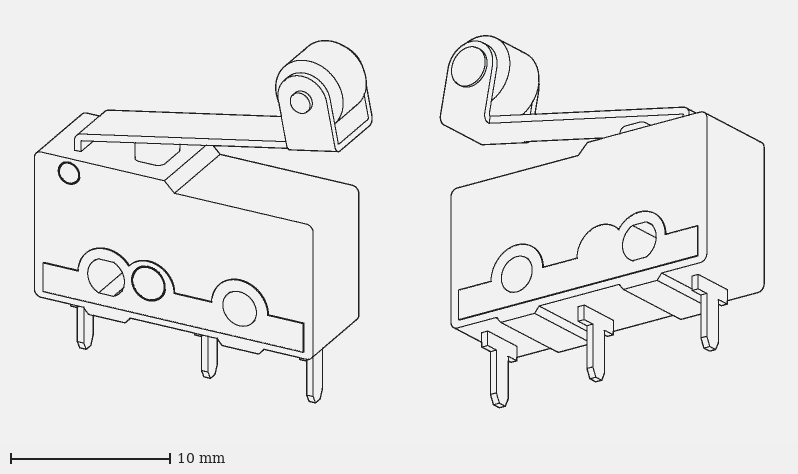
import cadquery as cq
import math


OVERALL_LENGTH = 21.12
OVERALL_HEIGHT = 24.62

BODY_LENGTH = 19.8
BODY_THICKNESS = 6.2
BODY_TOP = 10.22
STEP_TOP = 9.5
STEP_START = 9.23
CORNER_RADIUS = 0.5
FOOT_DEPTH = 0.42
FOOT_LENGTH = 3.3
FOOT_SLOPE = 0.35

HOLE_Z = 2.5
ROUND_HOLE_X = 14.62
ROUND_HOLE_DIAMETER = 2.4
FLAT_HOLE_X = 5.15
FLAT_HOLE_DIAMETER = 2.6
FLAT_HOLE_HEIGHT = ROUND_HOLE_DIAMETER

PANEL_HEIGHT = 0.1
PANEL_LEFT = 0.66
PANEL_RIGHT = 19.13
PANEL_BOTTOM = 0.5
HOLE_PAD_RADIUS = 2.0
RIVET_PAD_RADIUS = 1.82

RIVET_X = 8.15
RIVET_Z = 2.78
RIVET_DIAMETER = 2.4
PIVOT_X = 2.45
PIVOT_Z = 9.18
PIVOT_DIAMETER = 1.53
GROOVE_WIDTH = 0.07
GROOVE_DEPTH = 0.1

TERMINAL_CENTRES = (2.0, 10.8, 18.27)
TERMINAL_THICKNESS = 0.47
TERMINAL_BOTTOM = -4.48
SHOULDER_BOTTOM = -0.98
SHOULDER_HALF_WIDTH = 1.58
BLADE_HALF_WIDTH = 0.65
TIP_HALF_WIDTH = 0.32
TIP_LENGTH = 0.6
TERMINAL_EMBED = 0.25

EMBED_BOTTOM = 9.85
PLUNGER_X = 7.12
PLUNGER_LENGTH = 2.07
PLUNGER_WIDTH = 2.85
PLUNGER_TOP = 11.65
PLUNGER_RADIUS = 0.5
PLUNGER_TOP_RADIUS = 0.47

ROLLER_DIAMETER = 4.8
ROLLER_X = OVERALL_LENGTH - ROLLER_DIAMETER / 2
ROLLER_Z = TERMINAL_BOTTOM + OVERALL_HEIGHT - ROLLER_DIAMETER / 2
ROLLER_WIDTH = 3.15
AXLE_DIAMETER = 1.4
AXLE_FRONT = -2.83
HEAD_DIAMETER = 2.6
HEAD_BACK = 2.7

LEVER_ANGLE = 11.0
SHEET = 0.47
LEVER_WIDTH = 3.82
LEVER_LEG_X = 2.22
LEVER_BEND_RADIUS = 0.6
FORK_WIDTH = 5.02
FORK_BEND_RADIUS = 0.5
FORK_INNER_RADIUS = 0.12
FORK_RADIUS = 1.75
FORK_DROP = 3.57


def disc(x, z, diameter, y_start, y_end):
    """Cylinder along Y between two Y positions."""
    plane = cq.Plane(origin=(x, y_start, z), xDir=(1, 0, 0), normal=(0, 1, 0))
    return cq.Workplane(plane).circle(diameter / 2).extrude(y_end - y_start)


def block(x_start, x_end, y_size, z_start, z_end):
    """Box centred on the mid plane."""
    return cq.Workplane("XY").box(
        x_end - x_start, y_size, z_end - z_start, centered=(False, True, False)
    ).translate((x_start, 0, z_start))


def foot(centre_x):
    """Shallow trapezoid below the body."""
    half_length = FOOT_LENGTH / 2
    outline = cq.Workplane("XZ").polyline([
        (centre_x - half_length, 0),
        (centre_x - half_length + FOOT_SLOPE, -FOOT_DEPTH),
        (centre_x + half_length - FOOT_SLOPE, -FOOT_DEPTH),
        (centre_x + half_length, 0),
    ])
    return outline.close().extrude(BODY_THICKNESS / 2, both=True)


def housing():
    slope_end = STEP_START + BODY_TOP - STEP_TOP
    shell = (
        cq.Workplane("XZ")
        .polyline([
            (0, 0), (BODY_LENGTH, 0), (BODY_LENGTH, STEP_TOP),
            (slope_end, STEP_TOP), (STEP_START, BODY_TOP), (0, BODY_TOP),
        ])
        .close()
        .extrude(BODY_THICKNESS / 2, both=True)
    )
    shell = shell.edges("|Y and (<X or >X)").fillet(CORNER_RADIUS)
    for hole_x in (FLAT_HOLE_X, ROUND_HOLE_X):
        shell = shell.union(foot(hole_x))
    return shell


def panel():
    """Raised panel shape, as thick as body plus both reliefs."""
    half = BODY_THICKNESS / 2 + PANEL_HEIGHT
    plate = block(PANEL_LEFT, PANEL_RIGHT, 2 * half, PANEL_BOTTOM, HOLE_Z)
    pads = (
        (FLAT_HOLE_X, HOLE_PAD_RADIUS),
        (RIVET_X, RIVET_PAD_RADIUS),
        (ROUND_HOLE_X, HOLE_PAD_RADIUS),
    )
    upper_side = block(0, BODY_LENGTH, 2 * half, HOLE_Z, BODY_TOP)
    for pad_x, radius in pads:
        plate = plate.union(disc(pad_x, HOLE_Z, 2 * radius, -half, half).intersect(upper_side))
    return plate


def mounting_holes():
    reach = BODY_THICKNESS
    flat_hole = disc(FLAT_HOLE_X, HOLE_Z, FLAT_HOLE_DIAMETER, -reach, reach)
    flat_hole = flat_hole.intersect(block(
        0, BODY_LENGTH, 2 * reach, HOLE_Z - FLAT_HOLE_HEIGHT / 2, HOLE_Z + FLAT_HOLE_HEIGHT / 2
    ))
    return flat_hole.union(disc(ROUND_HOLE_X, HOLE_Z, ROUND_HOLE_DIAMETER, -reach, reach))


def ring_groove(x, z, diameter, face_y):
    """Thin ring cut into the front face that lies at -face_y."""
    bottom_y = GROOVE_DEPTH - face_y
    outer = disc(x, z, diameter, -face_y, bottom_y)
    return outer.cut(disc(x, z, diameter - 2 * GROOVE_WIDTH, -face_y, bottom_y))


def terminal(centre_x):
    right_side = [
        (SHOULDER_HALF_WIDTH, TERMINAL_EMBED),
        (SHOULDER_HALF_WIDTH, SHOULDER_BOTTOM),
        (BLADE_HALF_WIDTH, SHOULDER_BOTTOM),
        (BLADE_HALF_WIDTH, TERMINAL_BOTTOM + TIP_LENGTH),
        (TIP_HALF_WIDTH, TERMINAL_BOTTOM),
    ]
    left_side = [(-y, z) for y, z in reversed(right_side)]
    blade = cq.Workplane("YZ").polyline(right_side + left_side).close()
    return blade.extrude(TERMINAL_THICKNESS / 2, both=True).translate((centre_x, 0, 0))


def plunger():
    half_length = PLUNGER_LENGTH / 2
    button = block(
        PLUNGER_X - half_length, PLUNGER_X + half_length, PLUNGER_WIDTH,
        EMBED_BOTTOM, PLUNGER_TOP,
    )
    button = button.edges("|Z").fillet(PLUNGER_RADIUS)
    return button.faces(">Z").edges().fillet(PLUNGER_TOP_RADIUS)


def lever_strip():
    """Bent strip: upright leg in the body, then the sloping arm."""
    angle = math.radians(LEVER_ANGLE)
    slope = math.tan(angle)
    under_z = ROLLER_Z - FORK_DROP / math.cos(angle)
    end_x = ROLLER_X + FORK_RADIUS * math.cos(angle) + FORK_DROP * math.sin(angle)
    end_z = under_z + (end_x - ROLLER_X) * slope
    inner_x = LEVER_LEG_X + SHEET
    inner_z = under_z + (inner_x - ROLLER_X) * slope
    top_rise = SHEET / math.cos(angle)
    outer_z = under_z + (LEVER_LEG_X - ROLLER_X) * slope + top_rise
    strip = (
        cq.Workplane("XZ")
        .polyline([
            (LEVER_LEG_X, EMBED_BOTTOM), (inner_x, EMBED_BOTTOM),
            (inner_x, inner_z), (end_x, end_z),
            (end_x - SHEET * math.sin(angle), end_z + SHEET * math.cos(angle)),
            (LEVER_LEG_X, outer_z),
        ])
        .close()
        .extrude(LEVER_WIDTH / 2, both=True)
    )
    bend = cq.selectors.NearestToPointSelector((LEVER_LEG_X, 0, outer_z))
    return strip.edges("|Y").edges(bend).fillet(LEVER_BEND_RADIUS)


def fork():
    """U-shaped roller holder, modelled level about the roller axis and then tilted."""
    channel = block(-FORK_RADIUS, FORK_RADIUS, FORK_WIDTH, -FORK_DROP, FORK_RADIUS)
    channel = channel.edges("|X and <Z").fillet(FORK_BEND_RADIUS)
    gap = block(-FORK_RADIUS, FORK_RADIUS, FORK_WIDTH - 2 * SHEET, SHEET - FORK_DROP, FORK_RADIUS)
    gap = gap.edges("|X and <Z").fillet(FORK_INNER_RADIUS)
    half = FORK_WIDTH / 2
    side_shape = disc(0, 0, 2 * FORK_RADIUS, -half, half).union(
        block(-FORK_RADIUS, FORK_RADIUS, FORK_WIDTH, -FORK_DROP, 0)
    )
    holder = channel.cut(gap).intersect(side_shape)
    return holder.rotate((0, 0, 0), (0, 1, 0), -LEVER_ANGLE).translate((ROLLER_X, 0, ROLLER_Z))


def roller():
    half = ROLLER_WIDTH / 2
    wheel = disc(ROLLER_X, ROLLER_Z, ROLLER_DIAMETER, -half, half)
    axle = disc(ROLLER_X, ROLLER_Z, AXLE_DIAMETER, AXLE_FRONT, half)
    head = disc(ROLLER_X, ROLLER_Z, HEAD_DIAMETER, half, HEAD_BACK)
    return wheel.union(axle).union(head)


body_face = BODY_THICKNESS / 2
result = housing().union(panel()).cut(mounting_holes())
result = result.cut(ring_groove(RIVET_X, RIVET_Z, RIVET_DIAMETER, body_face + PANEL_HEIGHT))
result = result.cut(ring_groove(PIVOT_X, PIVOT_Z, PIVOT_DIAMETER, body_face))
for terminal_x in TERMINAL_CENTRES:
    result = result.union(terminal(terminal_x))
for piece in (plunger(), lever_strip(), fork(), roller()):
    result = result.union(piece)